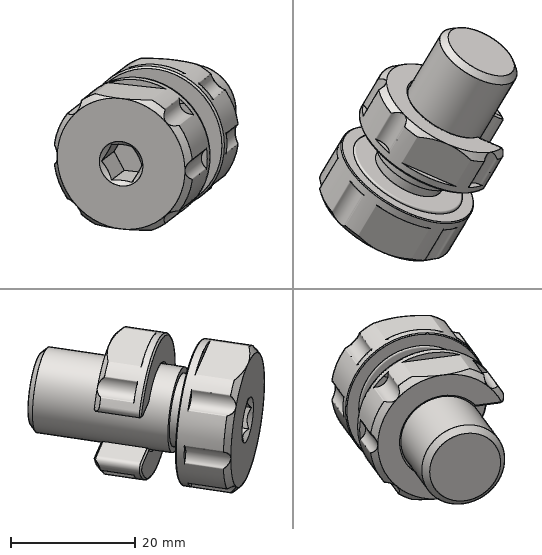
import cadquery as cq
import math

length = 35.0

wheel_radius = 12.0
grip_depth = 1.0
grip_floor_radius = wheel_radius - grip_depth
wheel_chamfer = grip_depth
groove_radius = 2.0
groove_angles = (0, 45, 135, 180, 225, 315)
lip_fillet = 0.2

knob_grip_length = 7.5
knob_wheel_end = 9.0
flange_chamfer = 0.18
boss_end = 9.38
boss_radius = 9.85
boss_fillet = 0.3
neck_radius = 6.02
neck_end = 11.48
shaft_radius = 7.0
tip_chamfer = 1.0
hex_flats = 6.02
hex_depth = 6.02
hex_countersink_radius = 3.75

nut_start = 15.0
nut_flange_end = 16.5
nut_end = 23.0
slot_width = 9.0
slot_mouth_fillet = 1.0
slot_throat_fillet = 0.35
nut_edge_chamfer = 0.3


def disc(radius, y_start, y_end):
    """Cylinder about the Y axis between two stations."""
    return cq.Workplane("XZ", origin=(0, y_start, 0)).circle(radius).extrude(y_start - y_end)


def revolved(profile):
    """Turn a closed (radius, y) outline about the Y axis."""
    return cq.Workplane("XY").polyline(profile).close().revolve(360, (0, 0, 0), (0, 1, 0))


def grip(y_start, y_end):
    """Wheel with six round grooves and two flats, all lips lightly rounded."""
    body = disc(wheel_radius, y_start, y_end)
    groove_centre = grip_floor_radius + groove_radius
    for angle in groove_angles:
        groove = disc(groove_radius, y_start, y_end).translate((groove_centre, 0, 0))
        body = body.cut(groove.rotate((0, 0, 0), (0, 1, 0), angle))
    flats = cq.Workplane("XY").box(2 * wheel_radius, y_end - y_start, 2 * grip_floor_radius)
    body = body.intersect(flats.translate((0, (y_start + y_end) / 2, 0)))
    return body.edges("|Y").fillet(lip_fillet)


def hex_socket():
    """Blind hexagon with two flats facing +Z and -Z, and a 45 degree countersink at its mouth."""
    across_corners = hex_flats / math.cos(math.pi / 6)
    hexagon = cq.Workplane("XZ").polygon(6, across_corners).extrude(-hex_depth)
    countersink = revolved([(0, 0), (hex_countersink_radius, 0), (0, hex_countersink_radius)])
    return hexagon.union(countersink)


def make_knob():
    wheel = grip(0, knob_grip_length).union(disc(wheel_radius, knob_grip_length, knob_wheel_end))
    envelope = revolved([
        (0, 0),
        (wheel_radius - wheel_chamfer, 0),
        (wheel_radius, wheel_chamfer),
        (wheel_radius, knob_wheel_end - flange_chamfer),
        (wheel_radius - flange_chamfer, knob_wheel_end),
        (0, knob_wheel_end),
    ])
    boss = disc(boss_radius, knob_grip_length, boss_end).faces(">Y").edges().fillet(boss_fillet)
    stem = revolved([
        (0, knob_grip_length),
        (neck_radius, knob_grip_length),
        (neck_radius, neck_end),
        (shaft_radius, neck_end),
        (shaft_radius, length - tip_chamfer),
        (shaft_radius - tip_chamfer, length),
        (0, length),
    ])
    return wheel.intersect(envelope).union(boss).union(stem).cut(hex_socket())


def make_nut():
    slot = cq.Workplane("XY").box(wheel_radius, nut_end - nut_start, slot_width)
    slot = slot.translate((-wheel_radius / 2, (nut_start + nut_end) / 2, 0))
    ring = disc(wheel_radius, nut_start, nut_end).cut(disc(shaft_radius, nut_start, nut_end))
    blank = ring.cut(slot)
    mouth_edges = cq.selectors.BoxSelector(
        (-wheel_radius, nut_start, -slot_width),
        (-shaft_radius, nut_end, slot_width),
    )
    throat_edges = cq.selectors.BoxSelector(
        (-shaft_radius, nut_start, -slot_width),
        (0, nut_end, slot_width),
    )
    blank = blank.edges("|Y").edges(mouth_edges).fillet(slot_mouth_fillet)
    blank = blank.edges("|Y").edges(throat_edges).fillet(slot_throat_fillet)
    blank = blank.faces("<Y or >Y").chamfer(nut_edge_chamfer)

    wheel = grip(nut_flange_end, nut_end).union(disc(wheel_radius, nut_start, nut_flange_end))
    envelope = revolved([
        (0, nut_start),
        (wheel_radius, nut_start),
        (wheel_radius, nut_end - wheel_chamfer),
        (wheel_radius - wheel_chamfer, nut_end),
        (0, nut_end),
    ])
    return blank.intersect(wheel.intersect(envelope))


knob = make_knob()
nut = make_nut()

result = cq.Compound.makeCompound([knob.val(), nut.val()])